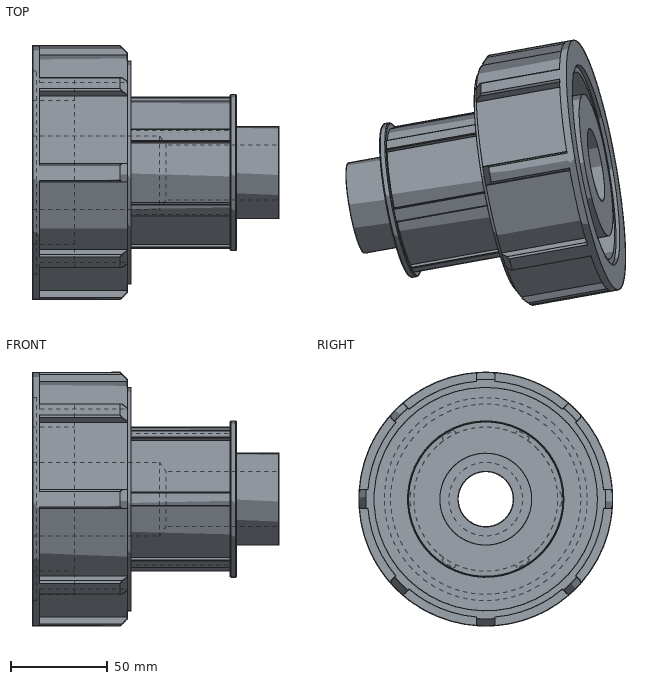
import cadquery as cq

RIM_END = 3.7
CHAMFER_START = 45.5
NUT_END = 49.2
COLLAR_END = 51.2
BODY_END = 102.7
FLANGE_END = 106.1
TOTAL_LENGTH = 128.0

NUT_DIA = 132.0
NUT_ROOT_DIA = 122.9
COLLAR_DIA = 116.2
BODY_DIA = 75.0
BODY_RIB_DIA = 78.7
FLANGE_DIA = 81.3
SPIGOT_DIA = 47.8

COUNTERBORE_DIA = 105.6
COUNTERBORE_DEPTH = 2.0
CAVITY_DIA = 99.0
CAVITY_DEPTH = 21.8
BORE_DIA = 38.3
OUTLET_DIA = 28.6
TAPER_START = 66.0
TAPER_LENGTH = 3.3
FLANGE_BEVEL = 0.5

NUT_RIB_COUNT = 8
NUT_RIB_WIDTH = 9.8
NUT_RIB_EDGE = 0.9
BODY_RIB_COUNT = 6
BODY_RIB_WIDTH = 7.4
BODY_RIB_EDGE = 0.4


def cylinder(diameter, start, end):
    """Solid cylinder on the X axis between two stations."""
    return cq.Workplane("YZ").workplane(offset=start).circle(diameter / 2).extrude(end - start)


def ribs(count, width, edge, outer_diameter, start, end):
    """Ring of radial ribs with rounded tops and bevelled edges, the first one on +Y."""
    bar = (
        cq.Workplane("XY")
        .box(end - start, outer_diameter, width, centered=(False, False, True))
        .translate((start, 0, 0))
        .intersect(cylinder(outer_diameter, start, end))
        .edges("|X")
        .edges(">Y")
        .chamfer(edge)
    )
    ring = bar
    for index in range(1, count):
        ring = ring.union(bar.rotate((0, 0, 0), (1, 0, 0), index * 360 / count))
    return ring


def nut():
    """Ribbed union nut with a plain rim at its open face and bevelled rib ends."""
    envelope = cylinder(NUT_DIA, 0, NUT_END).faces(">X").chamfer(NUT_END - CHAMFER_START)
    root = cylinder(NUT_ROOT_DIA, RIM_END, NUT_END)
    grip = ribs(NUT_RIB_COUNT, NUT_RIB_WIDTH, NUT_RIB_EDGE, NUT_DIA, RIM_END, NUT_END)
    gaps = cylinder(NUT_DIA, RIM_END, NUT_END).cut(root).cut(grip)
    collar = cylinder(COLLAR_DIA, 0, COLLAR_END)
    return envelope.cut(gaps).union(collar)


def nut_cavity():
    """Annular recess in the nut's open face, around the central boss."""
    recess = cylinder(CAVITY_DIA, 0, CAVITY_DEPTH)
    counterbore = cylinder(COUNTERBORE_DIA, 0, COUNTERBORE_DEPTH)
    boss = cylinder(BODY_DIA, 0, CAVITY_DEPTH)
    return recess.union(counterbore).cut(boss)


def body():
    """Ribbed barrel, bevelled end flange and plain spigot."""
    barrel = cylinder(BODY_DIA, 0, BODY_END)
    grip = ribs(BODY_RIB_COUNT, BODY_RIB_WIDTH, BODY_RIB_EDGE, BODY_RIB_DIA, NUT_END, BODY_END)
    flange = cylinder(FLANGE_DIA, BODY_END, FLANGE_END).edges().chamfer(FLANGE_BEVEL)
    spigot = cylinder(SPIGOT_DIA, BODY_END, TOTAL_LENGTH)
    return barrel.union(grip).union(flange).union(spigot)


def bore():
    """Through bore that tapers from the wide inlet to the narrow outlet."""
    taper_end = TAPER_START + TAPER_LENGTH
    profile = [
        (0, 0),
        (0, BORE_DIA / 2),
        (TAPER_START, BORE_DIA / 2),
        (taper_end, OUTLET_DIA / 2),
        (TOTAL_LENGTH, OUTLET_DIA / 2),
        (TOTAL_LENGTH, 0),
    ]
    return cq.Workplane("XY").polyline(profile).close().revolve(360, (0, 0, 0), (1, 0, 0))


result = nut().cut(nut_cavity()).union(body()).cut(bore())